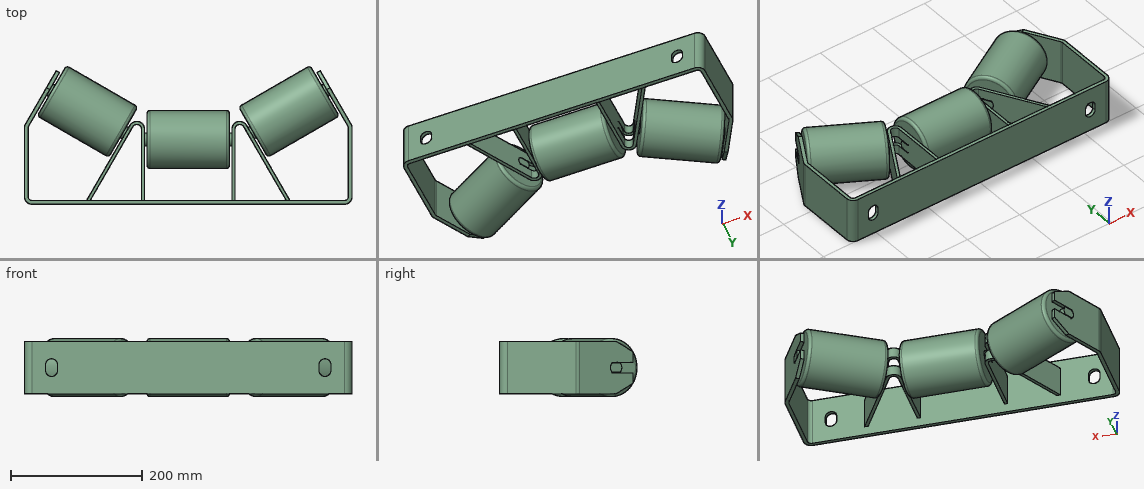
import cadquery as cq
import math

frame_width = 500.0
frame_height = 80.0
frame_thickness = 6.0
frame_bend_radius = 12.0
side_height = 116.5
arm_end_y = 204.0
arm_chamfer_along = 30.0
arm_chamfer_across = 16.0
mount_slot_spacing = 417.0
mount_slot_width = 18.0
mount_slot_length = 27.0

tilt = 30.0
roller_diameter = 89.0
roller_length = 126.0
roller_fillet = 5.0
shoulder_length = 3.5
axle_diameter = 20.0
axle_flat_width = 14.0
center_roller_y = 99.0
side_roller_y = 141.76

bracket_height = 50.0
bracket_thickness = 5.0
bracket_bend_radius = 12.0

axle_slot_width = 16.0
axle_slot_reach = 80.0

cos_tilt = math.cos(math.radians(tilt))
sin_tilt = math.sin(math.radians(tilt))
axle_radius = axle_diameter / 2
frame_inner_radius = frame_bend_radius - frame_thickness
bracket_inner_radius = bracket_bend_radius - bracket_thickness

half_gap = roller_length / 2 + shoulder_length


def on_arc(center, radius, angle):
    """Point on a circle, with the angle in degrees from +X."""
    turn = math.radians(angle)
    return (center[0] + radius * math.cos(turn), center[1] + radius * math.sin(turn))


def axial_position(point):
    """Distance of a point along the tilted axis of the left roller."""
    return point[0] * cos_tilt - point[1] * sin_tilt


slope_angle = 180 - tilt
frame_left = -frame_width / 2
corner_bend = (frame_left + frame_bend_radius, frame_bend_radius)
arm_bend = (frame_left + frame_bend_radius, side_height)
arm_start = on_arc(arm_bend, frame_bend_radius, slope_angle)
arm_length = (arm_end_y - arm_start[1]) / cos_tilt

arm_inner_position = axial_position(arm_start) + frame_thickness
side_roller_x = (arm_inner_position + half_gap + side_roller_y * sin_tilt) / cos_tilt
slope_position = arm_inner_position + 2 * half_gap

bracket_bend_x = -half_gap - bracket_bend_radius
bracket_bend_y = (bracket_bend_x * cos_tilt - bracket_bend_radius - slope_position) / sin_tilt
bracket_bend = (bracket_bend_x, bracket_bend_y)


def arm_point(along, inward):
    """Point on the left arm, measured from the start of its outer face."""
    return (
        arm_start[0] + along * sin_tilt + inward * cos_tilt,
        arm_start[1] + along * cos_tilt - inward * sin_tilt,
    )


def slope_foot(radius):
    """Point where a face of the sloping leg meets the frame's base."""
    top_x, top_y = on_arc(bracket_bend, radius, slope_angle)
    return (top_x - (top_y - frame_thickness) * sin_tilt / cos_tilt, frame_thickness)


def place_left(body):
    """Move a body from the origin to the left roller's tilted position."""
    return body.rotate((0, 0, 0), (0, 0, 1), -tilt).translate((side_roller_x, side_roller_y, 0))


def place_center(body):
    return body.translate((0, center_roller_y, 0))


def make_axle_end(start, length):
    """Axle end along +X with two flats facing up and down."""
    bar = cq.Workplane("YZ", origin=(start, 0, 0)).circle(axle_radius).extrude(length)
    return bar.intersect(cq.Workplane("XY").box(frame_width, axle_diameter, axle_flat_width))


def make_axle_slot(start, length):
    """Cutter along +X for a slot with a round bottom, open towards +Y."""
    plane = cq.Workplane("YZ", origin=(start, 0, 0))
    seat = plane.circle(axle_radius).extrude(length)
    opening = plane.center(axle_slot_reach / 2, 0).rect(axle_slot_reach, axle_diameter).extrude(length)
    return seat.union(opening).intersect(
        cq.Workplane("XY").box(frame_width, 2 * axle_slot_reach, axle_slot_width)
    )


def make_arm_chamfers():
    """Corner wedges cut off the free end of the left arm."""
    plane = cq.Plane(
        origin=(*arm_point(arm_length, 0), 0),
        xDir=(sin_tilt, cos_tilt, 0),
        normal=(cos_tilt, -sin_tilt, 0),
    )
    wedges = cq.Workplane(plane)
    for side in (-1, 1):
        edge = side * frame_height / 2
        inset_edge = side * (frame_height / 2 - arm_chamfer_across)
        wedges = wedges.polyline([(0, edge), (-arm_chamfer_along, edge), (0, inset_edge)]).close()
    return wedges.extrude(frame_thickness)


def make_frame_half():
    """Left half of the frame: base, upright side and slotted tilted arm."""
    inner_left = frame_left + frame_thickness
    corner_middle = 225
    arm_bend_middle = 180 - tilt / 2
    strip = (
        cq.Workplane("XY")
        .lineTo(corner_bend[0], 0)
        .threePointArc(on_arc(corner_bend, frame_bend_radius, corner_middle), (frame_left, corner_bend[1]))
        .lineTo(frame_left, side_height)
        .threePointArc(on_arc(arm_bend, frame_bend_radius, arm_bend_middle), arm_start)
        .lineTo(*arm_point(arm_length, 0))
        .lineTo(*arm_point(arm_length, frame_thickness))
        .lineTo(*arm_point(0, frame_thickness))
        .threePointArc(on_arc(arm_bend, frame_inner_radius, arm_bend_middle), (inner_left, side_height))
        .lineTo(inner_left, corner_bend[1])
        .threePointArc(
            on_arc(corner_bend, frame_inner_radius, corner_middle),
            (corner_bend[0], frame_thickness),
        )
        .lineTo(0, frame_thickness)
        .close()
        .extrude(frame_height / 2, both=True)
    )
    mount_slot = (
        cq.Workplane("XZ", origin=(-mount_slot_spacing / 2, 0, 0))
        .slot2D(mount_slot_length, mount_slot_width, 90)
        .extrude(-frame_thickness)
    )
    arm_slot = place_left(make_axle_slot(-half_gap - frame_thickness, frame_thickness))
    return strip.cut(mount_slot).cut(make_arm_chamfers()).cut(arm_slot)


def make_bracket():
    """Left bracket: upright leg, round bend and sloping leg, slotted through the bend."""
    bend_middle = slope_angle / 2
    strip = (
        cq.Workplane("XY")
        .moveTo(bracket_bend_x + bracket_bend_radius, frame_thickness)
        .lineTo(*on_arc(bracket_bend, bracket_bend_radius, 0))
        .threePointArc(
            on_arc(bracket_bend, bracket_bend_radius, bend_middle),
            on_arc(bracket_bend, bracket_bend_radius, slope_angle),
        )
        .lineTo(*slope_foot(bracket_bend_radius))
        .lineTo(*slope_foot(bracket_inner_radius))
        .lineTo(*on_arc(bracket_bend, bracket_inner_radius, slope_angle))
        .threePointArc(
            on_arc(bracket_bend, bracket_inner_radius, bend_middle),
            on_arc(bracket_bend, bracket_inner_radius, 0),
        )
        .lineTo(bracket_bend_x + bracket_inner_radius, frame_thickness)
        .close()
        .extrude(bracket_height / 2, both=True)
    )
    upright_slot = place_center(make_axle_slot(-half_gap - bracket_thickness, bracket_thickness))
    slope_slot = place_left(make_axle_slot(half_gap, bracket_thickness))
    bend_opening = (
        cq.Workplane("XY")
        .box(2 * bracket_bend_radius, bracket_bend_radius, axle_slot_width)
        .translate((bracket_bend_x, bracket_bend_y + bracket_bend_radius / 2, 0))
    )
    return strip.cut(upright_slot).cut(slope_slot).cut(bend_opening)


def make_roller(left_wall, right_wall):
    """Roller along X whose shouldered axle ends reach through walls of the given thickness."""
    shell = (
        cq.Workplane("YZ", origin=(-roller_length / 2, 0, 0))
        .circle(roller_diameter / 2)
        .extrude(roller_length)
        .faces("<X or >X")
        .edges()
        .fillet(roller_fillet)
    )
    shoulders = cq.Workplane("YZ", origin=(-half_gap, 0, 0)).circle(axle_radius).extrude(2 * half_gap)
    left_end = make_axle_end(-half_gap - left_wall, left_wall)
    right_end = make_axle_end(half_gap, right_wall)
    return shell.union(shoulders).union(left_end).union(right_end)


half_frame = make_frame_half().union(make_bracket())
center_roller = place_center(make_roller(bracket_thickness, bracket_thickness))
main_body = half_frame.union(half_frame.mirror("YZ")).union(center_roller)

side_rollers = []
for mirror_copy in (False, True):
    side_roller = place_left(make_roller(frame_thickness, bracket_thickness))
    if mirror_copy:
        side_roller = side_roller.mirror("YZ")
    side_rollers.append(side_roller.val())

result = cq.Compound.makeCompound([main_body.val(), *side_rollers])